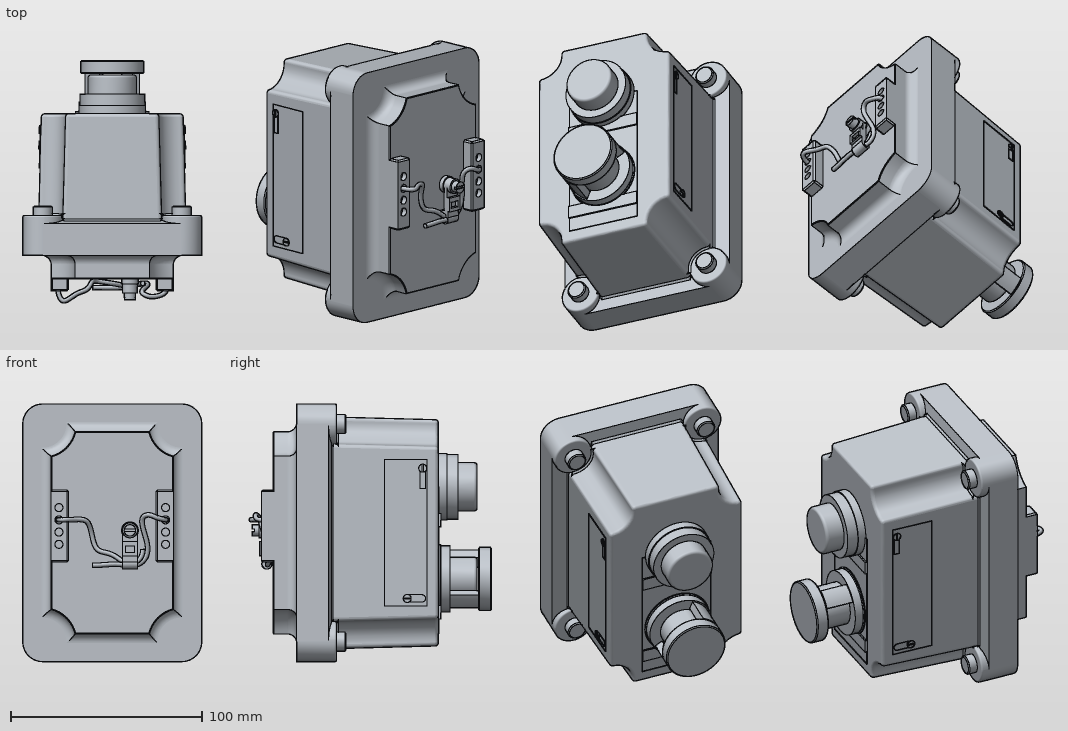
import cadquery as cq
import math


FLANGE_HALF_X = 46.865
FLANGE_HALF_Z = 67.435
CORNER_RADIUS = 10.5
CORNER_X = FLANGE_HALF_X - CORNER_RADIUS
CORNER_Z = FLANGE_HALF_Z - CORNER_RADIUS
FLANGE_EDGE_Y = 16.7
FLANGE_SLOPE_RISE = 1.6
FLANGE_SLOPE_RUN = 7.0
PAD_RADIUS = 10.55
PAD_TOP_Y = 20.9
PAD_EDGE_FILLET = 1.0
TRIM_MARGIN = 2.0

BOLT_RADIUS = 5.0
BOLT_TOP_Y = 25.8
BOLT_CHAMFER = 0.6

PLUG_HALF_X = 32.0
PLUG_HALF_Z = 52.9
PLUG_SCALLOP_RADIUS = 17.4
PLUG_FACE_Y = -12.3
PLUG_FILLET = 4.9
PLUG_EDGE_CHAMFER = 0.4
FACE_TOLERANCE = 0.1

HOUSING_HALF_X = 38.6
HOUSING_HALF_Z = 60.7
HOUSING_SCALLOP_RADIUS = 10.5
HOUSING_TOP_Y = 74.1
HOUSING_DRAFT = 1.5
RIM_FOOT_Y = 17.8
RIM_FOOT_TOP_Y = 19.2
RIM_FOOT_SPREAD = 1.3
PAD_FOOT_Y = 20.5
PAD_FOOT_TOP_Y = 22.0
PAD_FOOT_SPREAD = 1.3
FOOT_EMBED = 0.2
HOUSING_EDGE_FILLET = 1.9
HOUSING_TOP_FILLET = 1.8

BUTTON_Z = 24.1
NAMEPLATE_HALF_X = 19.3
NAMEPLATE_BOTTOM_Z = -52.7
NAMEPLATE_THICKNESS = 0.4
LEGEND_THICKNESS = 1.3
LEGEND_BOTTOM_DROP = 21.0
LEGEND_TOP_DROP = 14.0
BEZEL_RADIUS = 17.5
BEZEL_TOP_Y = 78.5
COLLAR_RADIUS = 17.0
COLLAR_TOP_Y = 84.4
KNOB_RADIUS = 12.7
KNOB_TOP_Y = 94.4
KNOB_FILLET = 1.6
GUARD_SEAT_RADIUS = 18.0
GUARD_SEAT_TOP_Y = 75.6
GUARD_SEAT_CHAMFER = 0.5
GUARD_BASE_RADIUS = 17.4
GUARD_BASE_TOP_Y = 80.2
GUARDED_KNOB_RADIUS = 11.4
GUARD_RADIUS = 16.6
GUARD_ARM_INNER_RADIUS = 12.2
GUARD_CAP_Y = 95.1
GUARD_TOP_Y = 101.9
GUARD_CAP_CHAMFER = 0.6
GUARD_ARM_ANGLES = (132.0, 312.0)
GUARD_ARM_SPAN = 36.0

LABEL_MID_Y = 57.0
LABEL_WIDTH = 22.4
LABEL_HEIGHT = 76.6
LABEL_THICKNESS = 0.4
LABEL_SCREW_RADIUS = 2.1
LABEL_SCREW_HEIGHT = 0.9
LABEL_SCREW_SLOT = 0.6
LABEL_SCREW_SLOT_DEPTH = 0.4
UPPER_SCREW = (65.9, 33.8)
UPPER_SLOT_END_Z = 23.1
UPPER_SLOT_WIDTH = 2.9
LOWER_SCREW = (57.8, -34.3)
LOWER_SLOT_END_Y = 67.4
LOWER_SLOT_WIDTH = 3.9

BLOCK_OUTER_X = PLUG_HALF_X
BLOCK_INNER_X = 22.9
BLOCK_TOP_Z = 22.4
BLOCK_BOTTOM_Z = -15.3
BLOCK_FACE_Y = -18.5
BLOCK_CHAMFER = 0.8
BLOCK_ROOT_DEPTH = 1.5
TERMINAL_X = 27.9
TERMINAL_RADIUS = 2.1
TERMINAL_DEPTH = 3.0
TERMINAL_PITCH = 6.4
TERMINAL_TOP_Z = 13.2
TERMINAL_COUNT = 4

CLIP_X = 9.25
POST_Z = 1.3
WASHER_RADIUS = 4.4
WASHER_FACE_Y = -14.9
POST_RADIUS = 3.9
POST_FACE_Y = -19.7
SCREW_RADIUS = 3.0
SCREW_FACE_Y = -23.3
SCREW_SLOT_WIDTH = 1.2
SCREW_SLOT_DEPTH = 1.2
CLIP_WIDTH = 7.7
STRAP_BACK_Y = -15.2
STRAP_FACE_Y = -17.5
BUCKLE_TOP_Z = -4.5
BUCKLE_BOTTOM_Z = -12.0
BUCKLE_FACE_Y = -19.4
WINDOW_WIDTH = 4.9
WINDOW_HEIGHT = 3.2
WINDOW_Z = -8.6
WINDOW_DEPTH = 2.0
LOOP_Y = -15.6
LOOP_Z = -16.3
LOOP_RADIUS = 2.7
LOOP_WEB_DEPTH = 5.0

WIRE_RADIUS = 1.2
TERMINAL_FLOOR_Y = BLOCK_FACE_Y + TERMINAL_DEPTH
WIRED_Z = TERMINAL_TOP_Z - TERMINAL_PITCH
LEFT_WIRE = [
    (-TERMINAL_X, TERMINAL_FLOOR_Y, WIRED_Z),
    (-TERMINAL_X, -20.5, WIRED_Z),
    (-26.2, -23.45, WIRED_Z),
    (-18.5, -20.0, 7.0),
    (-13.8, -18.0, 6.3),
    (-11.5, -15.4, 2.6),
    (-10.2, -13.6, -3.0),
    (-7.4, -13.5, -8.9),
    (-2.0, -14.3, -10.7),
    (2.4, -15.0, -12.8),
    (5.8, LOOP_Y, -15.2),
    (CLIP_X, LOOP_Y, -16.6),
]
LEFT_WIRE_TAIL = [
    (CLIP_X, -15.2, -16.4),
    (12.4, -15.2, -15.6),
    (14.9, -14.9, -13.0),
    (16.0, -14.6, -8.6),
]
RIGHT_WIRE = [
    (TERMINAL_X, TERMINAL_FLOOR_Y, WIRED_Z),
    (TERMINAL_X, -18.8, WIRED_Z),
    (23.3, -21.3, 8.0),
    (18.6, -21.2, 9.4),
    (16.0, -19.8, 8.0),
    (15.7, -18.4, 4.5),
    (17.2, -16.8, -1.5),
    (18.5, -15.2, -8.0),
    (17.6, -14.5, -12.6),
    (14.4, -14.8, -16.0),
    (CLIP_X, -16.3, -16.9),
    (2.0, -16.9, -16.4),
    (-4.0, -16.9, -16.7),
    (-10.3, -16.9, -17.0),
]


def face_plane(y, x=0.0, z=0.0):
    """Workplane at depth y whose local axes are the part's X and Z; negative extrusions run to +Y."""
    return cq.Workplane("XZ", origin=(x, y, z))


def disc(x, z, radius, y_start, y_end):
    return face_plane(y_start, x, z).circle(radius).extrude(y_start - y_end)


def block(x_range, y_range, z_range):
    size = [end - start for start, end in (x_range, y_range, z_range)]
    start = (x_range[0], y_range[0], z_range[0])
    return cq.Workplane("XY", origin=start).box(*size, centered=False)


def corners():
    return [(sx * CORNER_X, sz * CORNER_Z) for sx in (-1, 1) for sz in (-1, 1)]


def scalloped(plane, half_x, half_z, radius):
    """Rectangle whose corners are hollowed by arcs centred on the flange corner centres."""
    arc_z = CORNER_Z - math.sqrt(radius**2 - (half_x - CORNER_X) ** 2)
    arc_x = CORNER_X - math.sqrt(radius**2 - (half_z - CORNER_Z) ** 2)
    mid_x = CORNER_X - radius * math.sqrt(0.5)
    mid_z = CORNER_Z - radius * math.sqrt(0.5)
    return (
        plane.moveTo(half_x, -arc_z)
        .lineTo(half_x, arc_z)
        .threePointArc((mid_x, mid_z), (arc_x, half_z))
        .lineTo(-arc_x, half_z)
        .threePointArc((-mid_x, mid_z), (-half_x, arc_z))
        .lineTo(-half_x, -arc_z)
        .threePointArc((-mid_x, -mid_z), (-arc_x, -half_z))
        .lineTo(arc_x, -half_z)
        .threePointArc((mid_x, -mid_z), (half_x, -arc_z))
        .close()
    )


def add_plug(flange):
    """Scalloped plug that stands on the mounting face and blends into it with a fillet."""
    plug = scalloped(face_plane(0), PLUG_HALF_X, PLUG_HALF_Z, PLUG_SCALLOP_RADIUS).extrude(-PLUG_FACE_Y)
    plug = plug.faces("<Y").chamfer(PLUG_EDGE_CHAMFER)
    foot = cq.selectors.BoxSelector(
        (-CORNER_X, -FACE_TOLERANCE, -CORNER_Z), (CORNER_X, FACE_TOLERANCE, CORNER_Z)
    )
    return flange.union(plug).edges(foot).fillet(PLUG_FILLET)


def make_rim_trim():
    """What is cut from the flange beyond its sloped rim, leaving a round pad at each corner."""
    oversize = FLANGE_HALF_Z
    trim_top_y = PAD_TOP_Y + TRIM_MARGIN
    core = (
        face_plane(FLANGE_EDGE_Y)
        .rect(2 * FLANGE_HALF_X, 2 * FLANGE_HALF_Z)
        .workplane(offset=-FLANGE_SLOPE_RISE)
        .rect(2 * (FLANGE_HALF_X - FLANGE_SLOPE_RUN), 2 * (FLANGE_HALF_Z - FLANGE_SLOPE_RUN))
        .loft(ruled=True)
    )
    trim = face_plane(FLANGE_EDGE_Y).rect(4 * oversize, 4 * oversize).extrude(FLANGE_EDGE_Y - trim_top_y)
    trim = trim.cut(core)
    for x, z in corners():
        pad = disc(x, z, PAD_RADIUS, 0, trim_top_y)
        outward = block(
            sorted((x, x + math.copysign(oversize, x))),
            (0, trim_top_y),
            sorted((z, z + math.copysign(oversize, z))),
        )
        trim = trim.cut(pad.union(outward))
    return trim


def make_base():
    """Flange with sloped rims and its plug, with a round pad and a bolt at each corner."""
    base = (
        face_plane(0)
        .rect(2 * FLANGE_HALF_X, 2 * FLANGE_HALF_Z)
        .extrude(-PAD_TOP_Y)
        .edges("|Y")
        .fillet(CORNER_RADIUS)
    )
    base = base.cut(make_rim_trim())
    base = base.faces(">Y").edges().fillet(PAD_EDGE_FILLET)
    base = add_plug(base)
    for x, z in corners():
        bolt = disc(x, z, BOLT_RADIUS, PAD_TOP_Y, BOLT_TOP_Y).faces(">Y").chamfer(BOLT_CHAMFER)
        base = base.union(bolt)
    return base


def draft_inset(y):
    """How far the drafted housing walls have moved inward at depth y."""
    return (y - FLANGE_EDGE_Y) * math.tan(math.radians(HOUSING_DRAFT))


def housing_section(plane, y, side_offset=0.0, scallop_offset=0.0):
    """Housing outline at depth y, with its sides and scallop arcs moved outward by the offsets."""
    inset = draft_inset(y)
    return scalloped(
        plane,
        HOUSING_HALF_X - inset + side_offset,
        HOUSING_HALF_Z - inset + side_offset,
        HOUSING_SCALLOP_RADIUS + inset - scallop_offset,
    )


def make_foot(y_start, y_end, side_spread, scallop_spread):
    """Sloped collar round the housing; its top section ends just inside the housing walls."""
    start = housing_section(face_plane(y_start), y_start, side_spread, scallop_spread)
    top_plane = start.workplane(offset=y_start - y_end)
    return housing_section(top_plane, y_end, -FOOT_EMBED, -FOOT_EMBED).loft(ruled=True)


def make_housing():
    """Housing with rounded edges and small sloped feet onto the flange rim and the pads."""
    outline = housing_section(face_plane(FLANGE_EDGE_Y), FLANGE_EDGE_Y)
    outline = outline.workplane(offset=FLANGE_EDGE_Y - HOUSING_TOP_Y)
    housing = housing_section(outline, HOUSING_TOP_Y).loft(ruled=True)
    housing = housing.edges("not(#Y)").edges("not(<Y or >Y)").fillet(HOUSING_EDGE_FILLET)
    housing = housing.faces(">Y").edges().fillet(HOUSING_TOP_FILLET)
    rim_foot = make_foot(RIM_FOOT_Y, RIM_FOOT_TOP_Y, RIM_FOOT_SPREAD, -HOUSING_EDGE_FILLET)
    pad_foot = make_foot(PAD_FOOT_Y, PAD_FOOT_TOP_Y, -HOUSING_EDGE_FILLET, PAD_FOOT_SPREAD)
    return housing.union(rim_foot).union(pad_foot)


def make_legend(z):
    return block(
        (-NAMEPLATE_HALF_X, NAMEPLATE_HALF_X),
        (HOUSING_TOP_Y, HOUSING_TOP_Y + LEGEND_THICKNESS),
        (z - LEGEND_BOTTOM_DROP, z - LEGEND_TOP_DROP),
    )


def make_knob(z, radius):
    return disc(0, z, radius, HOUSING_TOP_Y, KNOB_TOP_Y).faces(">Y").edges().fillet(KNOB_FILLET)


def make_plain_button():
    button = disc(0, BUTTON_Z, BEZEL_RADIUS, HOUSING_TOP_Y, BEZEL_TOP_Y)
    button = button.union(disc(0, BUTTON_Z, COLLAR_RADIUS, BEZEL_TOP_Y, COLLAR_TOP_Y))
    return button.union(make_knob(BUTTON_Z, KNOB_RADIUS)).union(make_legend(BUTTON_Z))


def make_guard_arm(angle):
    """Ring sector that carries the guard cap, centred on the given angle."""

    def point(radius, turn):
        direction = math.radians(angle + turn)
        return (radius * math.cos(direction), radius * math.sin(direction))

    half_span = GUARD_ARM_SPAN / 2
    return (
        face_plane(GUARD_BASE_TOP_Y, 0, -BUTTON_Z)
        .moveTo(*point(GUARD_ARM_INNER_RADIUS, -half_span))
        .lineTo(*point(GUARD_RADIUS, -half_span))
        .threePointArc(point(GUARD_RADIUS, 0), point(GUARD_RADIUS, half_span))
        .lineTo(*point(GUARD_ARM_INNER_RADIUS, half_span))
        .threePointArc(point(GUARD_ARM_INNER_RADIUS, 0), point(GUARD_ARM_INNER_RADIUS, -half_span))
        .close()
        .extrude(GUARD_BASE_TOP_Y - GUARD_CAP_Y)
    )


def make_guarded_button():
    button = disc(0, -BUTTON_Z, GUARD_SEAT_RADIUS, HOUSING_TOP_Y, GUARD_SEAT_TOP_Y)
    button = button.faces(">Y").chamfer(GUARD_SEAT_CHAMFER)
    button = button.union(disc(0, -BUTTON_Z, GUARD_BASE_RADIUS, GUARD_SEAT_TOP_Y, GUARD_BASE_TOP_Y))
    button = button.union(make_knob(-BUTTON_Z, GUARDED_KNOB_RADIUS))
    for angle in GUARD_ARM_ANGLES:
        button = button.union(make_guard_arm(angle))
    cap = disc(0, -BUTTON_Z, GUARD_RADIUS, GUARD_CAP_Y, GUARD_TOP_Y)
    cap = cap.faces("<Y or >Y").chamfer(GUARD_CAP_CHAMFER)
    return button.union(cap).union(make_legend(-BUTTON_Z))


def make_nameplate():
    return block(
        (-NAMEPLATE_HALF_X, NAMEPLATE_HALF_X),
        (HOUSING_TOP_Y, HOUSING_TOP_Y + NAMEPLATE_THICKNESS),
        (NAMEPLATE_BOTTOM_Z, BUTTON_Z),
    )


def make_label():
    """Label plate on the drafted +X wall, with two slots and a slotted screw in each."""
    wall_x = HOUSING_HALF_X - draft_inset(LABEL_MID_Y)
    draft = math.radians(HOUSING_DRAFT)
    wall = cq.Plane(
        origin=(wall_x, LABEL_MID_Y, 0),
        xDir=(-math.sin(draft), math.cos(draft), 0),
        normal=(math.cos(draft), math.sin(draft), 0),
    )
    upper_y = UPPER_SCREW[0] - LABEL_MID_Y
    lower_y = LOWER_SCREW[0] - LABEL_MID_Y
    lower_end = LOWER_SLOT_END_Y - LABEL_MID_Y
    plate = cq.Workplane(wall).rect(LABEL_WIDTH, LABEL_HEIGHT).extrude(LABEL_THICKNESS)
    upper_slot = (
        cq.Workplane(wall)
        .center(upper_y, (UPPER_SCREW[1] + UPPER_SLOT_END_Z) / 2)
        .rect(UPPER_SLOT_WIDTH, UPPER_SCREW[1] - UPPER_SLOT_END_Z)
        .extrude(LABEL_THICKNESS)
    )
    lower_slot = (
        cq.Workplane(wall)
        .center((lower_y + lower_end - LOWER_SLOT_WIDTH / 2) / 2, LOWER_SCREW[1])
        .slot2D(lower_end - lower_y + LOWER_SLOT_WIDTH / 2, LOWER_SLOT_WIDTH)
        .extrude(LABEL_THICKNESS)
    )
    plate = plate.cut(upper_slot).cut(lower_slot)
    screws = (
        ((upper_y, UPPER_SCREW[1]), (LABEL_SCREW_SLOT, 3 * LABEL_SCREW_RADIUS)),
        ((lower_y, LOWER_SCREW[1]), (3 * LABEL_SCREW_RADIUS, LABEL_SCREW_SLOT)),
    )
    for place, slot_size in screws:
        head = cq.Workplane(wall).center(*place).circle(LABEL_SCREW_RADIUS).extrude(LABEL_SCREW_HEIGHT)
        slot = (
            cq.Workplane(wall)
            .workplane(offset=LABEL_SCREW_HEIGHT - LABEL_SCREW_SLOT_DEPTH)
            .center(*place)
            .rect(*slot_size)
            .extrude(LABEL_SCREW_SLOT_DEPTH)
        )
        plate = plate.union(head.cut(slot))
    return plate


def make_terminal_block():
    """Terminal block on the +X side of the plug face, rooted a little way into the plug."""
    terminals = block(
        (BLOCK_INNER_X, BLOCK_OUTER_X),
        (BLOCK_FACE_Y, PLUG_FACE_Y + BLOCK_ROOT_DEPTH),
        (BLOCK_BOTTOM_Z, BLOCK_TOP_Z),
    )
    terminals = terminals.edges("<X or (<Y and (>Z or <Z)) or (>X and (>Z or <Z))").chamfer(BLOCK_CHAMFER)
    for index in range(TERMINAL_COUNT):
        z = TERMINAL_TOP_Z - index * TERMINAL_PITCH
        terminals = terminals.cut(disc(TERMINAL_X, z, TERMINAL_RADIUS, BLOCK_FACE_Y, TERMINAL_FLOOR_Y))
    return terminals


def make_post():
    post = disc(CLIP_X, POST_Z, WASHER_RADIUS, WASHER_FACE_Y, PLUG_FACE_Y)
    post = post.union(disc(CLIP_X, POST_Z, POST_RADIUS, POST_FACE_Y, WASHER_FACE_Y))
    screw = disc(CLIP_X, POST_Z, SCREW_RADIUS, SCREW_FACE_Y, POST_FACE_Y)
    slot = block(
        (CLIP_X - SCREW_RADIUS, CLIP_X + SCREW_RADIUS),
        (SCREW_FACE_Y, SCREW_FACE_Y + SCREW_SLOT_DEPTH),
        (POST_Z - SCREW_SLOT_WIDTH / 2, POST_Z + SCREW_SLOT_WIDTH / 2),
    )
    return post.union(screw.cut(slot))


def make_clip():
    """Strap from the post to a windowed buckle, ending in a round loop that holds the wires."""
    clip_x = (CLIP_X - CLIP_WIDTH / 2, CLIP_X + CLIP_WIDTH / 2)
    strap = block(clip_x, (STRAP_FACE_Y, STRAP_BACK_Y), (BUCKLE_TOP_Z, POST_Z))
    buckle = block(clip_x, (BUCKLE_FACE_Y, STRAP_BACK_Y), (BUCKLE_BOTTOM_Z, BUCKLE_TOP_Z))
    window = block(
        (CLIP_X - WINDOW_WIDTH / 2, CLIP_X + WINDOW_WIDTH / 2),
        (BUCKLE_FACE_Y, BUCKLE_FACE_Y + WINDOW_DEPTH),
        (WINDOW_Z - WINDOW_HEIGHT / 2, WINDOW_Z + WINDOW_HEIGHT / 2),
    )
    web_y = (LOOP_Y - LOOP_WEB_DEPTH / 2, LOOP_Y + LOOP_WEB_DEPTH / 2)
    loop_web = block(clip_x, web_y, (LOOP_Z, BUCKLE_BOTTOM_Z))
    loop = cq.Workplane("YZ", origin=(clip_x[0], LOOP_Y, LOOP_Z)).circle(LOOP_RADIUS).extrude(CLIP_WIDTH)
    return strap.union(buckle.cut(window)).union(loop_web).union(loop)


def make_wire(points):
    path = cq.Workplane("XY").spline(points)
    start = cq.Plane(origin=points[0], normal=path.val().tangentAt(0))
    return cq.Workplane(start).circle(WIRE_RADIUS).sweep(path)


def mirrored_in_x(shape):
    return shape.mirror("YZ")


body = make_base()
label = make_label()
terminals = make_terminal_block()
parts = [
    make_housing(),
    make_nameplate(),
    make_plain_button(),
    make_guarded_button(),
    label,
    mirrored_in_x(label),
    terminals,
    mirrored_in_x(terminals),
    make_post(),
    make_clip(),
    make_wire(LEFT_WIRE),
    make_wire(LEFT_WIRE_TAIL),
    make_wire(RIGHT_WIRE),
]
for part in parts:
    body = body.union(part)
result = body